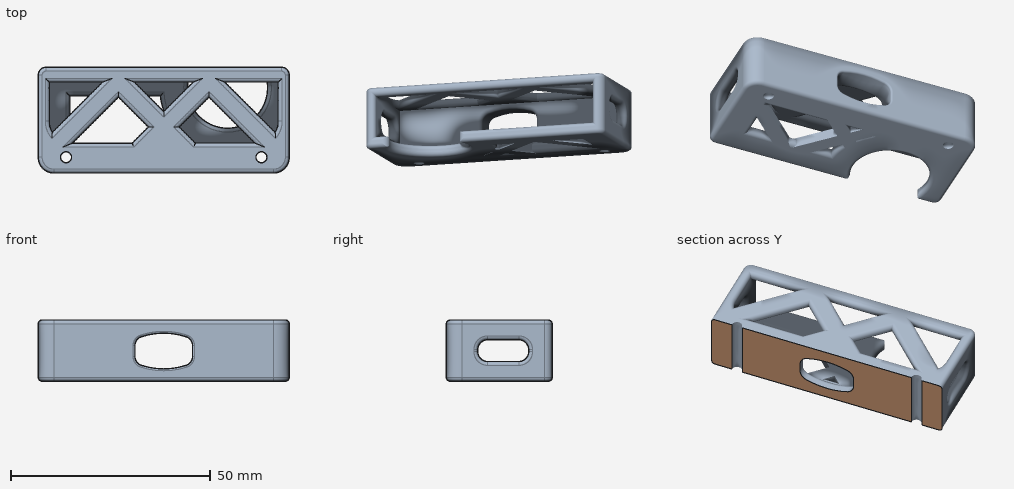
import cadquery as cq
import math

LENGTH = 63.0
DEPTH = 26.61
HEIGHT = 15.4
FRONT_CORNER_R = 4.0
BACK_CORNER_R = 2.0
SIDE_WALL = 2.8
FLOOR = 2.8
ROOF = 2.2
FRONT_WALL = 6.5
EDGE_ROUND = 1.0

WINDOW_FRONT_MARGIN = 7.55
WINDOW_BACK_MARGIN = 3.8
WINDOW_CORNER_R = 5.5
RIB_WIDTH = 5.5
RIB_APEX_X = 11.35
RIB_APEX_Y = 9.63

FLOOR_WINDOW_LEFT = -23.5
FLOOR_WINDOW_BACK = 6.0
FLOOR_RIB_WIDTH = RIB_WIDTH - 2 * EDGE_ROUND
FLOOR_WINDOW_CORNER_R = 0.3
RING_X = 16.0
RING_Y = 8.0
RING_INNER_R = 10.0
RING_OUTER_R = 17.0
TIP_ROUND = 1.5

SCREW_D = 2.7
SCREW_X = 24.5
SCREW_FROM_FRONT = 4.0

SLOT_LENGTH = 12.7
SLOT_HEIGHT = 5.4
SLOT_CORNER_R = 2.45
SLOT_Y = 1.0

PORT_HALF_WIDTH = 7.2
PORT_HALF_HEIGHT = 4.45
PORT_Z = -0.1
PORT_CROWN_R = 18.0
PORT_CORNER_R = 2.3
PORT_ROUND = 0.5

MATCH_TOLERANCE = 0.001

FRONT_Y = -DEPTH / 2
BACK_Y = DEPTH / 2
BOTTOM_Z = -HEIGHT / 2
TOP_Z = HEIGHT / 2
FLOOR_Z = BOTTOM_Z + FLOOR
CEILING_Z = TOP_Z - ROOF
CAVITY_HALF_LENGTH = LENGTH / 2 - SIDE_WALL
CAVITY_FRONT_Y = FRONT_Y + FRONT_WALL
WINDOW_FRONT_Y = FRONT_Y + WINDOW_FRONT_MARGIN
WINDOW_BACK_Y = BACK_Y - WINDOW_BACK_MARGIN


def block(x_min, x_max, y_min, y_max, z_min, z_max):
    size = (x_max - x_min, y_max - y_min, z_max - z_min)
    return cq.Workplane("XY", origin=(x_min, y_min, z_min)).box(*size, centered=False)


def outer_block():
    body = cq.Workplane("XY").box(LENGTH, DEPTH, HEIGHT)
    body = body.edges("|Z and <Y").fillet(FRONT_CORNER_R)
    body = body.edges("|Z and >Y").fillet(BACK_CORNER_R)
    return body.faces("<Z or >Z").edges().fillet(EDGE_ROUND)


def cavity():
    room = block(-CAVITY_HALF_LENGTH, CAVITY_HALF_LENGTH, CAVITY_FRONT_Y, BACK_Y, FLOOR_Z, CEILING_Z)
    return flared(room, "Y", EDGE_ROUND, ">{0}")


def flared(prism, axis, radius, ends="<{0} or >{0}"):
    """Opening cutter along the given axis whose ends flare out to leave rounded rims."""
    box = prism.val().BoundingBox()
    margin = {name: 0 if name == axis else 3 * radius for name in "XYZ"}
    slab = block(
        box.xmin - margin["X"], box.xmax + margin["X"],
        box.ymin - margin["Y"], box.ymax + margin["Y"],
        box.zmin - margin["Z"], box.zmax + margin["Z"],
    )
    panel = slab.cut(prism)
    mouths = prism.faces(ends.format(axis)).edges().vals()
    centers = [edge.Center() for edge in mouths]
    panel = panel.edges().filter(lambda e: any((e.Center() - c).Length < MATCH_TOLERANCE for c in centers))
    return slab.cut(panel.fillet(radius))


def rib_bars(width, z_min, thickness):
    """Diagonal bars, two crossing at each rib apex."""
    bars = []
    for apex_x in (-RIB_APEX_X, RIB_APEX_X):
        for angle in (-45, 45):
            bar = cq.Workplane("XY").box(2 * LENGTH, width, thickness, centered=(True, True, False))
            bars.append(bar.rotate((0, 0, 0), (0, 0, 1), angle).translate((apex_x, RIB_APEX_Y, z_min)))
    return bars


def top_windows():
    """Truss windows, flush with the cavity side walls below their upper rims."""
    field = block(-CAVITY_HALF_LENGTH, CAVITY_HALF_LENGTH, WINDOW_FRONT_Y, WINDOW_BACK_Y, CEILING_Z, TOP_Z)
    field = field.edges("|Z and <Y").fillet(WINDOW_CORNER_R)
    for bar in rib_bars(RIB_WIDTH, CEILING_Z, ROOF):
        field = field.cut(bar)
    windows = field.solids().vals()
    smallest = min(windows, key=lambda window: window.Volume())
    roof_middle_z = TOP_Z - ROOF / 2
    left_wall = block(-LENGTH / 2, -CAVITY_HALF_LENGTH, FRONT_Y, BACK_Y, CEILING_Z, roof_middle_z)
    right_wall = left_wall.mirror("YZ")
    cutters = []
    for window in windows:
        if window is not smallest:
            cutter = flared(cq.Workplane(window), "Z", EDGE_ROUND)
            cutters.append(cutter.cut(left_wall).cut(right_wall))
    return cutters


def floor_disc(radius):
    return cq.Workplane("XY", origin=(RING_X, RING_Y, BOTTOM_Z)).circle(radius).extrude(FLOOR)


def floor_window():
    """Window beside the ring; its ribs are flush with the floor and have sharp edges."""
    window = block(FLOOR_WINDOW_LEFT, RING_X, WINDOW_FRONT_Y, FLOOR_WINDOW_BACK, BOTTOM_Z, FLOOR_Z)
    window = window.cut(floor_disc(RING_OUTER_R))
    window = window.edges("|Z and >X").fillet(FLOOR_WINDOW_CORNER_R)
    window = flared(window, "Z", EDGE_ROUND)
    for bar in rib_bars(FLOOR_RIB_WIDTH, BOTTOM_Z, FLOOR):
        window = window.cut(bar)
    return window


def round_opening():
    """Round floor opening that breaks through the back edge between two rounded tips."""
    behind = block(
        RING_X - 2 * RING_INNER_R, RING_X + 2 * RING_INNER_R,
        BACK_Y, BACK_Y + RING_INNER_R,
        BOTTOM_Z, FLOOR_Z,
    )
    outline = floor_disc(RING_INNER_R).union(behind)
    reach = RING_INNER_R - MATCH_TOLERANCE
    tips = cq.selectors.BoxSelector(
        (RING_X - reach, BACK_Y - MATCH_TOLERANCE, BOTTOM_Z),
        (RING_X + reach, BACK_Y + MATCH_TOLERANCE, FLOOR_Z),
    )
    outline = outline.edges("|Z").edges(tips).fillet(TIP_ROUND)
    return outline.union(flared(floor_disc(RING_INNER_R), "Z", EDGE_ROUND))


def side_slot(x_min):
    slot = block(
        x_min, x_min + SIDE_WALL,
        SLOT_Y - SLOT_LENGTH / 2, SLOT_Y + SLOT_LENGTH / 2,
        -SLOT_HEIGHT / 2, SLOT_HEIGHT / 2,
    )
    return flared(slot.edges("|X").fillet(SLOT_CORNER_R), "X", EDGE_ROUND)


def port():
    """Flat sides joined to the crowned top and bottom by tangent corner arcs."""
    crown_center_z = PORT_HALF_HEIGHT - PORT_CROWN_R
    corner_x = PORT_HALF_WIDTH - PORT_CORNER_R
    center_gap = PORT_CROWN_R - PORT_CORNER_R
    corner_z = crown_center_z + math.sqrt(center_gap**2 - corner_x**2)
    slope = math.atan2(corner_z - crown_center_z, corner_x)

    def on_corner(angle):
        return (corner_x + PORT_CORNER_R * math.cos(angle), corner_z + PORT_CORNER_R * math.sin(angle))

    side_x, side_z = on_corner(0)
    mid_x, mid_z = on_corner(slope / 2)
    crown_x, crown_z = on_corner(slope)
    outline = (
        cq.Workplane("XZ", origin=(0, FRONT_Y, PORT_Z))
        .moveTo(side_x, -side_z)
        .lineTo(side_x, side_z)
        .threePointArc((mid_x, mid_z), (crown_x, crown_z))
        .threePointArc((0, PORT_HALF_HEIGHT), (-crown_x, crown_z))
        .threePointArc((-mid_x, mid_z), (-side_x, side_z))
        .lineTo(-side_x, -side_z)
        .threePointArc((-mid_x, -mid_z), (-crown_x, -crown_z))
        .threePointArc((0, -PORT_HALF_HEIGHT), (crown_x, -crown_z))
        .threePointArc((mid_x, -mid_z), (side_x, -side_z))
        .close()
    )
    tunnel = outline.extrude(-FRONT_WALL)
    outer_end = flared(tunnel, "Y", PORT_ROUND, "<{0}")
    inner_end = flared(tunnel, "Y", EDGE_ROUND, ">{0}")
    return outer_end.union(inner_end)


def screw_holes():
    centers = [(-SCREW_X, FRONT_Y + SCREW_FROM_FRONT), (SCREW_X, FRONT_Y + SCREW_FROM_FRONT)]
    return cq.Workplane("XY", origin=(0, 0, BOTTOM_Z)).pushPoints(centers).circle(SCREW_D / 2).extrude(HEIGHT)


body = outer_block()
openings = [
    cavity(),
    *top_windows(),
    floor_window(),
    round_opening(),
    side_slot(-LENGTH / 2),
    side_slot(CAVITY_HALF_LENGTH),
    port(),
    screw_holes(),
]
for opening in openings:
    body = body.cut(opening)
result = body